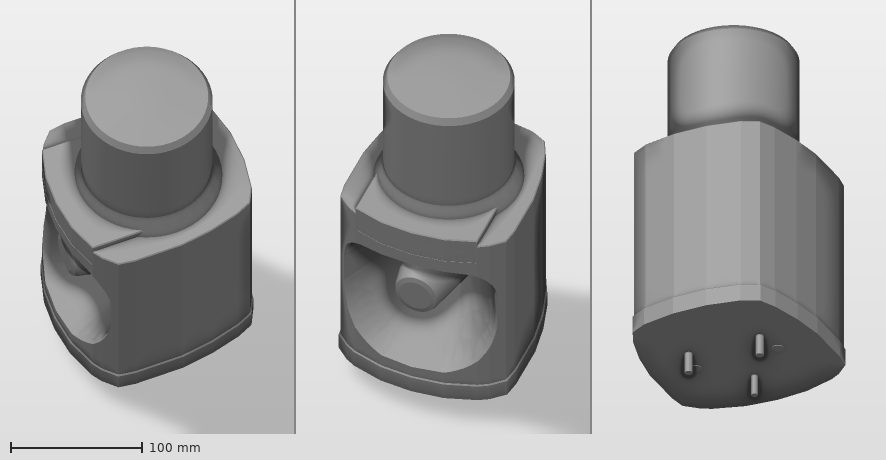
import cadquery as cq
import math

base_height = 15.0
body_top = 159.3
pad_top = 164.5
cone_top = 174.5
rim_bottom = 257.7
rim_top = 262.7
apex_height = 265.0

edge_chamfer = 0.8
body_inset = 1.0

front_y = -76.0
back_y = 75.8
half_outline = [
    (0, front_y),
    (26.0, -73.9),
    (50.7, -66.2),
    (58.5, -61.7),
    (69.0, -52.2),
    (71.0, -39.0),
    (71.0, 0),
    (67.0, 26.0),
    (60.3, 50.5),
    (54.0, 63.7),
    (41.0, 70.8),
    (13.8, back_y),
]

tower_radius = 50.2
cone_radius = 57.5
cap_radius = 46.8

pad_half_width = 50.0

panel_margin = 0.8
panel_bottom = 141.8
panel_top = 161.8
panel_depth = 0.3

horn_z = 92.2
horn_ring_radius = 30.7
horn_ring_y = 0
mouth_top = 131.5
mouth_bottom = 23.7
mouth_half_width = 74.7
mouth_top_radius = 28.2
mouth_bottom_radius = 50.7

plug_shoulder_radius = 18.3
plug_edge_radius = 17.0
plug_face_radius = 13.0
plug_shoulder_y = -63.0
plug_edge_y = -66.2
plug_face_y = -67.5

pin_length = 17.0
outer_pin_x = 30.2
outer_pin_y = 16.0
outer_pin_radius = 3.0
front_pin_y = -36.0
front_pin_radius = 2.5
foot_x = 34.7
foot_y = -6.0
foot_radius = 4.5
foot_height = 0.5


def plan_prism(inset, bottom, top):
    """Prism with the plan outline moved inwards by inset."""
    mirrored = [(-x, y) for x, y in reversed(half_outline) if x > 0]
    outline = cq.Workplane("XY", origin=(0, 0, bottom)).polyline(half_outline + mirrored).close()
    if inset:
        outline = outline.offset2D(-inset, "intersection")
    return outline.extrude(top - bottom)


def front_strip(half_width, bottom, top):
    """Block from the tower axis to the front, used to pick out part of the front."""
    strip = cq.Workplane("XY").box(2 * half_width, -front_y, top - bottom, centered=(True, False, False))
    return strip.translate((0, front_y, bottom))


def make_pad():
    pad = plan_prism(body_inset, base_height, pad_top)
    pad = pad.intersect(front_strip(pad_half_width, base_height, pad_top))
    return pad.faces(">Z").chamfer(edge_chamfer)


def make_panel_recess():
    recess = front_strip(pad_half_width - panel_margin, panel_bottom, panel_top)
    return recess.cut(plan_prism(body_inset + panel_depth, panel_bottom, panel_top))


def make_tower():
    profile = [
        (0, base_height),
        (cone_radius, base_height),
        (cone_radius, body_top),
        (tower_radius, cone_top),
        (tower_radius, rim_bottom),
        (cap_radius, rim_top),
        (0, apex_height),
    ]
    return cq.Workplane("XZ").polyline(profile).close().revolve(360, (0, 0), (0, 1))


def ring_point(x, z):
    """Point of the inner ring in the same direction from the horn axis as (x, z)."""
    angle = math.atan2(z - horn_z, x)
    return (horn_ring_radius * math.cos(angle), horn_z + horn_ring_radius * math.sin(angle))


def mouth_points():
    """End and middle points of each edge of the mouth, round from the middle of the bottom edge."""
    lower_flat = mouth_half_width - mouth_bottom_radius
    lower_side = mouth_bottom + mouth_bottom_radius
    upper_flat = mouth_half_width - mouth_top_radius
    upper_side = mouth_top - mouth_top_radius
    lower_bulge = mouth_bottom_radius * math.sqrt(0.5)
    upper_bulge = mouth_top_radius * math.sqrt(0.5)
    right = [
        (lower_flat, mouth_bottom),
        (lower_flat + lower_bulge, lower_side - lower_bulge),
        (mouth_half_width, lower_side),
        (mouth_half_width, (lower_side + upper_side) / 2),
        (mouth_half_width, upper_side),
        (upper_flat + upper_bulge, upper_side + upper_bulge),
        (upper_flat, mouth_top),
    ]
    left = [(-x, z) for x, z in reversed(right)]
    bottom_middle = (0, mouth_bottom)
    return right + [(0, mouth_top)] + left + [bottom_middle, right[0]]


def closed_wire(points, y):
    """Closed wire of lines and arcs at depth y, each through three consecutive points."""
    vectors = [cq.Vector(x, y, z) for x, z in points]
    edges = []
    for i in range(0, len(vectors) - 1, 2):
        start, middle, end = vectors[i:i + 3]
        if is_straight(start, middle, end):
            edges.append(cq.Edge.makeLine(start, end))
        else:
            edges.append(cq.Edge.makeThreePointArc(start, middle, end))
    return cq.Wire.assembleEdges(edges)


def is_straight(start, middle, end):
    flat_tolerance = 7.95e-06
    return (middle - start).cross(end - start).Length < flat_tolerance


def make_horn():
    points = mouth_points()
    mouth = closed_wire(points, front_y)
    ring = closed_wire([ring_point(x, z) for x, z in points], horn_ring_y)
    return cq.Workplane(cq.Solid.makeLoft([ring, mouth], True))


def make_plug():
    profile = [
        (0, horn_ring_y),
        (horn_ring_radius, horn_ring_y),
        (plug_shoulder_radius, plug_shoulder_y),
        (plug_edge_radius, plug_edge_y),
        (plug_face_radius, plug_face_y),
        (0, plug_face_y),
    ]
    plug = cq.Workplane("XY").polyline(profile).close().revolve(360, (0, 0), (0, 1))
    return plug.translate((0, 0, horn_z))


def peg(x, y, radius, length):
    return cq.Workplane("XY").center(x, y).circle(radius).extrude(-length)


base = plan_prism(0, 0, base_height).faces(">Z").chamfer(edge_chamfer)
body = plan_prism(body_inset, base_height, body_top).faces(">Z").chamfer(edge_chamfer)
body = body.union(make_pad()).cut(make_panel_recess())
body = body.union(base).union(make_tower())
body = body.cut(make_horn()).union(make_plug())

for side in (-1, 1):
    body = body.union(peg(side * outer_pin_x, outer_pin_y, outer_pin_radius, pin_length))
    body = body.union(peg(side * foot_x, foot_y, foot_radius, foot_height))
body = body.union(peg(0, front_pin_y, front_pin_radius, pin_length))

result = body